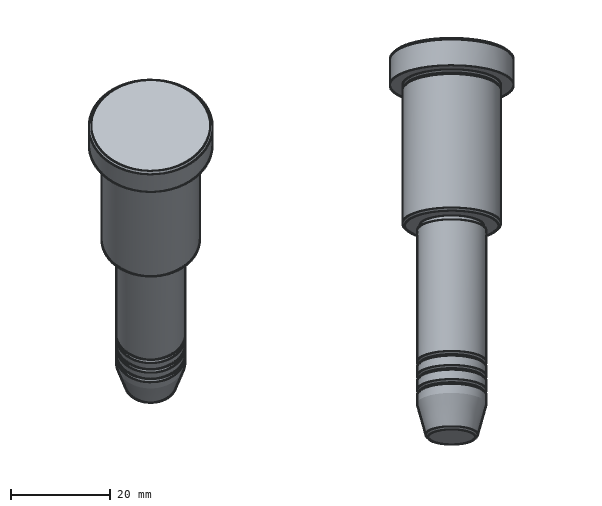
import cadquery as cq
import math

total_length = 81.0
head_radius = 25.0 / 2
barrel_radius = 19.9 / 2
shaft_radius = 14.0 / 2

head_height = 6.0
barrel_end_depth = 36.0
tip_length = 7.0
tip_angle = 15.0

chamfer = 0.5
groove_depth = chamfer
groove_width = 2 * groove_depth

groove_count = 3
groove_pitch = 3.0
lowest_groove_center = 9.5

barrel_top = total_length - head_height
barrel_bottom = total_length - barrel_end_depth


def revolved(profile):
    """Revolve a closed (radius, height) profile around Z."""
    return cq.Workplane("XZ").polyline(profile).close().revolve(360, (0, 0, 0), (0, 1, 0))


def v_groove(radius, center_height):
    """Ring that cuts a 90 degree V groove into a cylinder."""
    half_width = groove_width / 2
    return revolved([
        (radius - groove_depth, center_height),
        (radius, center_height + half_width),
        (radius + groove_depth, center_height + half_width),
        (radius + groove_depth, center_height - half_width),
        (radius, center_height - half_width),
    ])


head = (
    cq.Workplane("XY")
    .workplane(offset=barrel_top)
    .circle(head_radius)
    .extrude(head_height)
    .faces(">Z")
    .chamfer(chamfer)
)

barrel = (
    cq.Workplane("XY")
    .workplane(offset=barrel_bottom)
    .circle(barrel_radius)
    .extrude(barrel_top - barrel_bottom)
    .faces("<Z")
    .chamfer(chamfer)
    .cut(v_groove(barrel_radius, barrel_top - groove_width / 2))
)

relief_radius = shaft_radius - groove_depth
relief_bottom = barrel_bottom - groove_width
tip_radius = shaft_radius - (tip_length - chamfer) * math.tan(math.radians(tip_angle))
shaft = revolved([
    (0, 0),
    (tip_radius - chamfer, 0),
    (tip_radius, chamfer),
    (shaft_radius, tip_length),
    (shaft_radius, relief_bottom),
    (relief_radius, relief_bottom),
    (relief_radius, barrel_bottom),
    (0, barrel_bottom),
])
for index in range(groove_count):
    shaft = shaft.cut(v_groove(shaft_radius, lowest_groove_center + index * groove_pitch))

result = head.union(barrel).union(shaft)